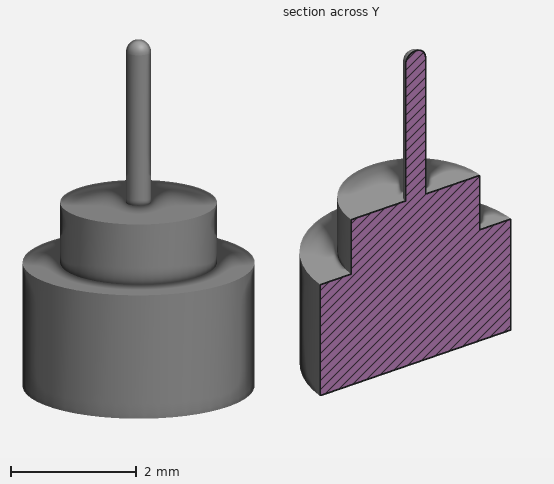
import cadquery as cq

base_diameter = 3.7
base_height = 2.05
collar_diameter = 2.5
collar_height = 1.0
insulator_diameter = 1.95
pin_diameter = 0.4
total_height = 5.75

collar_top = base_height + collar_height
pin_radius = pin_diameter / 2
pin_length = total_height - collar_top


def cylinder(diameter, bottom, height):
    """Upright cylinder on the Z axis."""
    return cq.Workplane("XY").workplane(offset=bottom).circle(diameter / 2).extrude(height)


def make_housing():
    """Wide base with a narrower collar on top."""
    base = cylinder(base_diameter, 0, base_height)
    collar = cylinder(collar_diameter, base_height, collar_height)
    return base.union(collar)


def make_insulator():
    """Disc inside the collar, flush with the collar's top face."""
    return cylinder(insulator_diameter, base_height, collar_height)


def make_pin():
    """Contact pin with a hemispherical tip."""
    shoulder = total_height - pin_radius
    shank = cylinder(pin_diameter, collar_top, pin_length - pin_radius)
    tip = cq.Workplane("XY").sphere(pin_radius).translate((0, 0, shoulder))
    return shank.union(tip)


result = make_housing().union(make_insulator(), clean=False).union(make_pin(), clean=False)